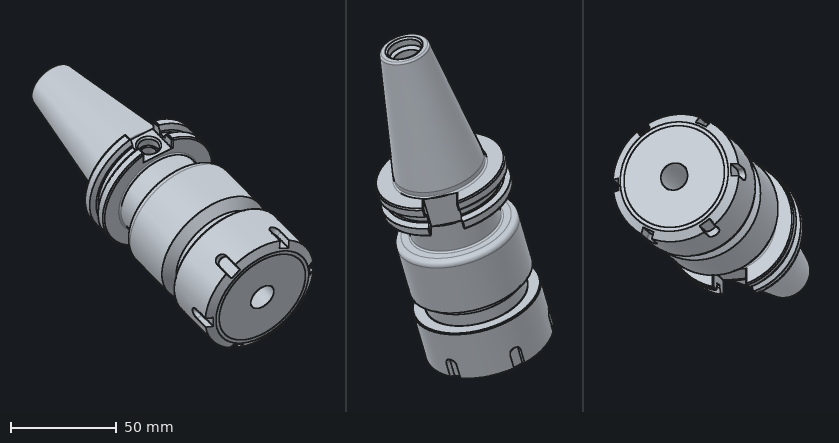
import cadquery as cq
import math

TOTAL_LENGTH = 172.9

GAUGE_DIAMETER = 44.5
GAUGE_X = 68.3
TAPER_RATIO = 7 / 24
TAPER_END_RADIUS = GAUGE_DIAMETER / 2 - GAUGE_X * TAPER_RATIO / 2
TAPER_END_ROUNDING = 1.0

FLANGE_DIAMETER = 63.5
FLANGE_START = 71.4
FLANGE_WIDTH = 15.9
FLANGE_END = FLANGE_START + FLANGE_WIDTH
FLANGE_MIDDLE = FLANGE_START + FLANGE_WIDTH / 2
FLANGE_EDGE_CHAMFER = 0.7
GROOVE_FLOOR_DIAMETER = 55.7
GROOVE_FLOOR_WIDTH = 3.8
GROOVE_STRAIGHT_DEPTH = 1.2
GROOVE_WALL_ANGLE = 30.0

ROOT_FILLET = 0.9

DRIVE_SLOT_WIDTH = 15.9
DRIVE_SLOT_CHAMFER = 0.7
TOP_SLOT_FLOOR = 24.7
BOTTOM_SLOT_FLOOR = 22.5

SLOT_HOLE_MOUTH_DIAMETER = 12.1
SLOT_HOLE_DIAMETER = 10.2
SLOT_HOLE_DEPTH = 5.2
SLOT_DRILL_DIAMETER = 8.0
SLOT_DRILL_DEPTH = 10.4
DRILL_POINT_HALF_ANGLE = 59.0

COLLAR_DIAMETER = 60.3
COLLAR_START = 103.4
COLLAR_END = 133.1
COLLAR_ROUNDING = 3.3
FRONT_NECK_DIAMETER = 50.3
FRONT_NECK_START = 137.6

BORE_DIAMETER = 13.3
ENTRY_DIAMETER = 16.5
ENTRY_MOUTH_DIAMETER = 18.3
ENTRY_DEPTH = 4.3

NUT_DIAMETER = 62.8
NUT_START = 144.4
NUT_BACK_CHAMFER = 0.5
NUT_NOSE_LENGTH = 2.5
NUT_NOSE_DEPTH = 4.5
THREAD_DIAMETER = 50.0

SPANNER_SLOT_COUNT = 6
SPANNER_SLOT_TURN = 2.2
SPANNER_SLOT_WIDTH = 5.9
SPANNER_SLOT_START = 160.0
SPANNER_SLOT_FLOOR = 28.0


def revolve_about_x(profile):
    """Revolve a closed outline of (x, radius) about the X axis."""
    return profile.close().revolve(360, (0, 0, 0), (1, 0, 0))


def disc(start, end, diameter):
    """Cylinder along X from start to end."""
    return cq.Workplane("YZ", origin=(start, 0, 0)).circle(diameter / 2).extrude(end - start)


def root_flare(face_x, side):
    """Concave fillet ring on the gauge diameter; side is the X direction away from the face."""
    gauge_radius = GAUGE_DIAMETER / 2
    arc_offset = ROOT_FILLET * (1 - math.sqrt(0.5))
    return revolve_about_x(
        cq.Workplane("XY")
        .moveTo(face_x, 0)
        .lineTo(face_x, gauge_radius + ROOT_FILLET)
        .threePointArc(
            (face_x + side * arc_offset, gauge_radius + arc_offset),
            (face_x + side * ROOT_FILLET, gauge_radius),
        )
        .lineTo(face_x + side * ROOT_FILLET, 0)
    )


def make_shank():
    """Taper with a rounded small end and a short cylinder at its large end."""
    gauge_radius = GAUGE_DIAMETER / 2
    shank = revolve_about_x(
        cq.Workplane("XY")
        .lineTo(0, TAPER_END_RADIUS)
        .lineTo(GAUGE_X, gauge_radius)
        .lineTo(FLANGE_START, gauge_radius)
        .lineTo(FLANGE_START, 0)
    )
    shank = shank.faces("<X").edges().fillet(TAPER_END_ROUNDING)
    return shank.union(root_flare(FLANGE_START, -1))


def make_groove_ring():
    """Ring removed from the flange rim: straight walls at the floor, flaring outward."""
    floor_radius = GROOVE_FLOOR_DIAMETER / 2
    flare_radius = floor_radius + GROOVE_STRAIGHT_DEPTH
    rim_radius = FLANGE_DIAMETER / 2
    half_floor = GROOVE_FLOOR_WIDTH / 2
    half_mouth = half_floor + (rim_radius - flare_radius) * math.tan(math.radians(GROOVE_WALL_ANGLE))
    return revolve_about_x(
        cq.Workplane("XY")
        .moveTo(FLANGE_MIDDLE - half_mouth, rim_radius)
        .lineTo(FLANGE_MIDDLE - half_floor, flare_radius)
        .lineTo(FLANGE_MIDDLE - half_floor, floor_radius)
        .lineTo(FLANGE_MIDDLE + half_floor, floor_radius)
        .lineTo(FLANGE_MIDDLE + half_floor, flare_radius)
        .lineTo(FLANGE_MIDDLE + half_mouth, rim_radius)
    )


def make_drive_slot(floor, side):
    """Cutter for a drive slot with broken edges; side is +1 toward +Z and -1 toward -Z."""
    half_length = FLANGE_WIDTH / 2
    half_width = DRIVE_SLOT_WIDTH / 2
    chamfer = DRIVE_SLOT_CHAMFER
    top = FLANGE_DIAMETER / 2
    rim = math.sqrt(top**2 - half_width**2)
    half_plan = [
        (-half_length, half_width + chamfer),
        (chamfer - half_length, half_width),
        (half_length - chamfer, half_width),
        (half_length, half_width + chamfer),
    ]
    plan = half_plan + [(x, -y) for x, y in reversed(half_plan)]
    slot = cq.Workplane("XY", origin=(0, 0, floor)).polyline(plan).close().extrude(top - floor)
    flare_half_width = half_width + top - rim + chamfer
    flare = (
        cq.Workplane("YZ", origin=(-half_length, 0, 0))
        .moveTo(-half_width, rim - chamfer)
        .lineTo(half_width, rim - chamfer)
        .lineTo(flare_half_width, top)
        .lineTo(-flare_half_width, top)
        .close()
        .extrude(FLANGE_WIDTH)
    )
    cutter = slot.union(flare).translate((FLANGE_MIDDLE, 0, 0))
    return cutter if side > 0 else cutter.mirror("XY")


def make_slot_hole():
    """Chamfered counterbore and pointed drill hole going down from the slot floor."""
    mouth_radius = SLOT_HOLE_MOUTH_DIAMETER / 2
    hole_radius = SLOT_HOLE_DIAMETER / 2
    drill_radius = SLOT_DRILL_DIAMETER / 2
    point_height = drill_radius / math.tan(math.radians(DRILL_POINT_HALF_ANGLE))
    return (
        cq.Workplane("XZ")
        .lineTo(mouth_radius, 0)
        .lineTo(hole_radius, hole_radius - mouth_radius)
        .lineTo(hole_radius, -SLOT_HOLE_DEPTH)
        .lineTo(drill_radius, -SLOT_HOLE_DEPTH)
        .lineTo(drill_radius, -SLOT_DRILL_DEPTH)
        .lineTo(0, -SLOT_DRILL_DEPTH - point_height)
        .close()
        .revolve(360, (0, 0, 0), (0, 1, 0))
        .translate((FLANGE_MIDDLE, 0, TOP_SLOT_FLOOR))
    )


def make_flange():
    flange = disc(FLANGE_START, FLANGE_END, FLANGE_DIAMETER).edges().chamfer(FLANGE_EDGE_CHAMFER)
    flange = flange.cut(make_groove_ring())
    flange = flange.cut(make_drive_slot(TOP_SLOT_FLOOR, 1))
    flange = flange.cut(make_drive_slot(BOTTOM_SLOT_FLOOR, -1))
    return flange.cut(make_slot_hole())


def make_collar():
    """Rear neck, rounded collar with a conical front, front neck and threaded nose."""
    rear_neck = disc(FLANGE_END, COLLAR_START, GAUGE_DIAMETER)
    rear_neck = rear_neck.union(root_flare(FLANGE_END, 1)).union(root_flare(COLLAR_START, -1))
    collar = revolve_about_x(
        cq.Workplane("XY")
        .moveTo(COLLAR_START, 0)
        .lineTo(COLLAR_START, COLLAR_DIAMETER / 2)
        .lineTo(COLLAR_END, COLLAR_DIAMETER / 2)
        .lineTo(FRONT_NECK_START, FRONT_NECK_DIAMETER / 2)
        .lineTo(NUT_START, FRONT_NECK_DIAMETER / 2)
        .lineTo(NUT_START, 0)
    )
    collar = collar.faces("<X").edges().fillet(COLLAR_ROUNDING)
    return collar.union(rear_neck).union(disc(NUT_START, TOTAL_LENGTH, THREAD_DIAMETER))


def make_bore():
    """Through bore whose entry at the taper end has a chamfered mouth and a conical step."""
    entry_radius = ENTRY_DIAMETER / 2
    mouth_radius = ENTRY_MOUTH_DIAMETER / 2
    bore_radius = BORE_DIAMETER / 2
    return revolve_about_x(
        cq.Workplane("XY")
        .lineTo(0, mouth_radius)
        .lineTo(mouth_radius - entry_radius, entry_radius)
        .lineTo(ENTRY_DEPTH, entry_radius)
        .lineTo(ENTRY_DEPTH + entry_radius - bore_radius, bore_radius)
        .lineTo(TOTAL_LENGTH, bore_radius)
        .lineTo(TOTAL_LENGTH, 0)
    )


def make_holder():
    return make_shank().union(make_flange()).union(make_collar()).cut(make_bore())


def make_spanner_slot(angle):
    """Round-ended slot cutter, open toward +X, turned about the X axis."""
    half_width = SPANNER_SLOT_WIDTH / 2
    round_centre = SPANNER_SLOT_START + half_width
    return (
        cq.Workplane("XY", origin=(0, 0, SPANNER_SLOT_FLOOR))
        .moveTo(TOTAL_LENGTH, -half_width)
        .lineTo(round_centre, -half_width)
        .threePointArc((SPANNER_SLOT_START, 0), (round_centre, half_width))
        .lineTo(TOTAL_LENGTH, half_width)
        .close()
        .extrude(NUT_DIAMETER / 2 - SPANNER_SLOT_FLOOR)
        .rotate((0, 0, 0), (1, 0, 0), angle)
    )


def make_nut():
    radius = NUT_DIAMETER / 2
    bore_radius = THREAD_DIAMETER / 2
    nut = revolve_about_x(
        cq.Workplane("XY")
        .moveTo(NUT_START, bore_radius)
        .lineTo(NUT_START, radius - NUT_BACK_CHAMFER)
        .lineTo(NUT_START + NUT_BACK_CHAMFER, radius)
        .lineTo(TOTAL_LENGTH - NUT_NOSE_LENGTH, radius)
        .lineTo(TOTAL_LENGTH, radius - NUT_NOSE_DEPTH)
        .lineTo(TOTAL_LENGTH, bore_radius)
    )
    pitch = 360 / SPANNER_SLOT_COUNT
    for index in range(SPANNER_SLOT_COUNT):
        nut = nut.cut(make_spanner_slot((index + 0.5) * pitch + SPANNER_SLOT_TURN))
    return nut


holder = make_holder()
nut = make_nut()
result = cq.Compound.makeCompound([holder.val(), nut.val()])